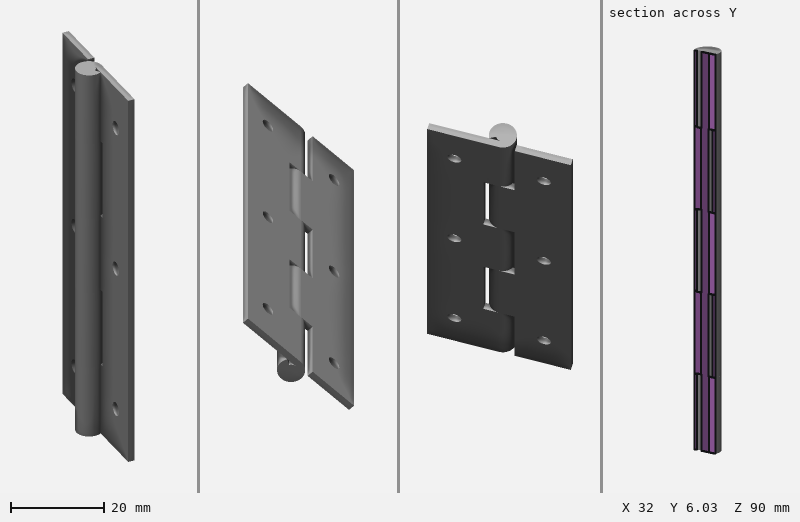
import cadquery as cq
import math

height = 90.0
open_width = 32.0
knuckle_radius = 3.015
leaf_thickness = 1.5
pin_radius = knuckle_radius - leaf_thickness

middle_knuckle_length = 18.5
middle_knuckle_count = 3
end_knuckle_length = (height - middle_knuckle_count * middle_knuckle_length) / 2
notch_edge_x = 3.5
curl_end_angle = 29.0

hole_diameter = 3.15
hole_x = 10.0
hole_spacing = 35.0
hole_count = 3


def knuckle_spans():
    """Bottom and top Z of every knuckle, from the bottom of the hinge upward."""
    lengths = [end_knuckle_length] + [middle_knuckle_length] * middle_knuckle_count + [end_knuckle_length]
    spans = []
    bottom = -height / 2
    for length in lengths:
        spans.append((bottom, bottom + length))
        bottom += length
    return spans


def make_knuckle(bottom, top):
    """A tab that leaves the leaf and curls around the pin."""
    end_angle = math.radians(curl_end_angle)
    middle_angle = (math.pi / 2 + end_angle + 2 * math.pi) / 2

    def on_circle(radius, angle):
        return (radius * math.cos(angle), radius * math.sin(angle))

    tab_end_x = (notch_edge_x + open_width / 2) / 2
    return (
        cq.Workplane("XY", origin=(0, 0, bottom))
        .moveTo(tab_end_x, knuckle_radius)
        .lineTo(0, knuckle_radius)
        .threePointArc(on_circle(knuckle_radius, middle_angle), on_circle(knuckle_radius, end_angle))
        .lineTo(*on_circle(pin_radius, end_angle))
        .threePointArc(on_circle(pin_radius, middle_angle), (0, pin_radius))
        .lineTo(tab_end_x, pin_radius)
        .close()
        .extrude(top - bottom)
    )


def make_leaf(spans):
    """A leaf on the +X side with a knuckle at each of the given Z spans."""
    leaf = cq.Workplane("XY").box(
        open_width / 2 - notch_edge_x, leaf_thickness, height, centered=(False, False, True)
    ).translate((notch_edge_x, pin_radius, 0))
    for bottom, top in spans:
        leaf = leaf.union(make_knuckle(bottom, top))

    holes = (
        cq.Workplane("XZ", origin=(hole_x, knuckle_radius, 0))
        .rarray(0.9, hole_spacing, 1, hole_count)
        .circle(hole_diameter / 2)
        .extrude(leaf_thickness)
    )
    return leaf.cut(holes)


def make_pin():
    """A plain pin, flush with the ends of the hinge."""
    return cq.Workplane("XY").circle(pin_radius).extrude(height / 2, both=True)


all_spans = knuckle_spans()
right_leaf = make_leaf(all_spans[0::2])
left_leaf = make_leaf(all_spans[1::2]).mirror("YZ")
pin = make_pin()

result = cq.Compound.makeCompound([right_leaf.val(), left_leaf.val(), pin.val()])